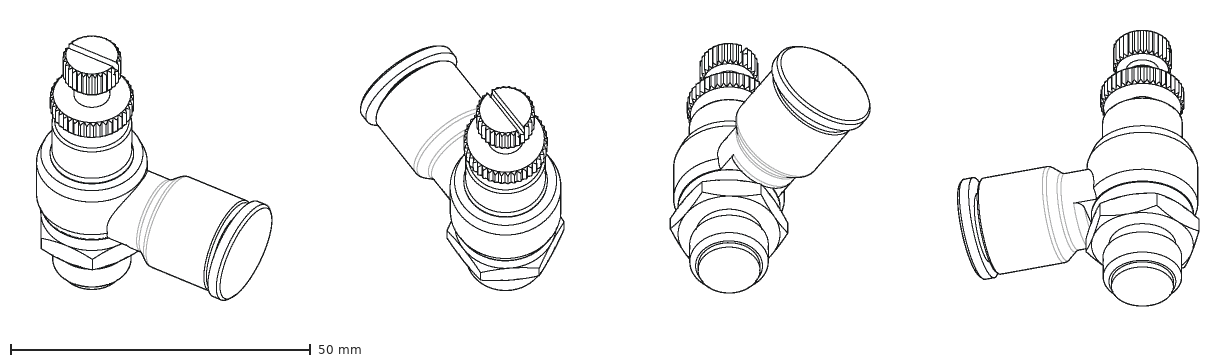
import cadquery as cq
import math


TIP_RADIUS = 5.15
TIP_TOP = 1.1
THREAD_RADIUS = 6.55
THREAD_BOTTOM = 2.05
THREAD_TOP = 6.4
RELIEF_RADIUS = 5.6
RELIEF_BOTTOM = 7.0

HEX_FLATS = 17.0
HEX_BOTTOM = 9.0
HEX_TOP = 13.1
HEX_CHAMFER_ANGLE = math.radians(30)

COLLAR_RADIUS = HEX_FLATS / 2
COLLAR_CHAMFER = 0.15

BODY_RADIUS = 9.25
BODY_END_RADIUS = 8.55
BODY_BOTTOM = 15.75
BODY_LOWER_SHOULDER = 17.75
BODY_UPPER_SHOULDER = 25.7
BODY_TOP = 27.7

BONNET_RADIUS = 6.65
BONNET_FLARE_RADIUS = 7.0
BONNET_FLARE_LIP = 0.15
BONNET_FLARE_TOP = 28.75
BONNET_TOP = 35.6
BONNET_CHAMFER = 0.45

SCREW_RADIUS = 3.0
SCREW_NECK_RADIUS = 2.7
SCREW_SHOULDER = 45.1
SCREW_NECK_BOTTOM = 45.55
NUT_BOTTOM = 38.5
NUT_TOP = 42.15
NUT_RADIUS = 7.0
NUT_TEETH = 40
HEAD_BOTTOM = 46.7
HEAD_TOP = 51.7
HEAD_RADIUS = 4.85
HEAD_TEETH = 30
TOOTH_DEPTH = 0.5
SLOT_WIDTH = 1.15
SLOT_DEPTH = 1.85

PORT_AXIS_Z = 18.85
NECK_RADIUS = 6.5
NOSE_START = 8.9
NOSE_ROUND = 1.4
TAPER_START = 12.6
TAPER_END = 14.7
TAPER_BLEND = 1.0
SOCKET_RADIUS = 8.15
SOCKET_END = 26.4
SOCKET_CHAMFER = 0.3
COLLET_RADIUS = 5.85
FLANGE_START = 27.5
FLANGE_END = 29.55
FLANGE_HALF_WIDTH = BODY_RADIUS
FLANGE_HALF_HEIGHT = 8.0
FLANGE_CHAMFER = 0.45


def cylinder_z(radius, bottom, top):
    return cq.Workplane("XY").workplane(offset=bottom).circle(radius).extrude(top - bottom)


def cylinder_x(radius, start, end):
    plane = cq.Workplane("YZ", origin=(start, 0, PORT_AXIS_Z))
    return plane.circle(radius).extrude(end - start)


def turned_stack():
    """Thread, collar, body, bonnet and screw shank as one revolved outline."""
    outline = [
        (0, 0),
        (TIP_RADIUS, 0),
        (TIP_RADIUS, TIP_TOP),
        (THREAD_RADIUS - (THREAD_BOTTOM - TIP_TOP), TIP_TOP),
        (THREAD_RADIUS, THREAD_BOTTOM),
        (THREAD_RADIUS, THREAD_TOP),
        (RELIEF_RADIUS, RELIEF_BOTTOM),
        (RELIEF_RADIUS, HEX_BOTTOM),
        (COLLAR_RADIUS, HEX_BOTTOM),
        (COLLAR_RADIUS, BODY_BOTTOM - COLLAR_CHAMFER),
        (COLLAR_RADIUS - COLLAR_CHAMFER, BODY_BOTTOM),
        (BODY_END_RADIUS, BODY_BOTTOM),
        (BODY_RADIUS, BODY_LOWER_SHOULDER),
        (BODY_RADIUS, BODY_UPPER_SHOULDER),
        (BODY_END_RADIUS, BODY_TOP),
        (BONNET_FLARE_RADIUS, BODY_TOP),
        (BONNET_FLARE_RADIUS, BODY_TOP + BONNET_FLARE_LIP),
        (BONNET_RADIUS, BONNET_FLARE_TOP),
        (BONNET_RADIUS, BONNET_TOP - BONNET_CHAMFER),
        (BONNET_RADIUS - BONNET_CHAMFER, BONNET_TOP),
        (SCREW_RADIUS, BONNET_TOP),
        (SCREW_RADIUS, SCREW_SHOULDER),
        (SCREW_NECK_RADIUS, SCREW_NECK_BOTTOM),
        (SCREW_NECK_RADIUS, HEAD_BOTTOM),
        (0, HEAD_BOTTOM),
    ]
    return cq.Workplane("XZ").polyline(outline).close().revolve(360, (0, 0), (0, 1))


def hexagon():
    """Hexagon with a corner on X, its corners turned off at both ends."""
    corner_radius = HEX_FLATS / 2 / math.cos(math.pi / 6)
    corner_drop = (corner_radius - HEX_FLATS / 2) * math.tan(HEX_CHAMFER_ANGLE)
    prism = (
        cq.Workplane("XY")
        .workplane(offset=HEX_BOTTOM)
        .polygon(6, 2 * corner_radius)
        .extrude(HEX_TOP - HEX_BOTTOM)
    )
    envelope = cylinder_z(corner_radius, HEX_BOTTOM, HEX_TOP).faces("|Z").edges()
    return prism.intersect(envelope.chamfer(corner_drop, corner_radius - HEX_FLATS / 2))


def knurled_disc(tip_radius, teeth, bottom, top):
    """Disc with sharp V-teeth, a groove lying on X, chamfered to the tooth roots."""
    root_radius = tip_radius - TOOTH_DEPTH
    half_pitch = math.pi / teeth
    points = []
    for i in range(2 * teeth):
        radius = tip_radius if i % 2 else root_radius
        points.append((radius * math.cos(i * half_pitch), radius * math.sin(i * half_pitch)))
    star = cq.Workplane("XY").workplane(offset=bottom).polyline(points).close().extrude(top - bottom)
    return star.intersect(cylinder_z(tip_radius, bottom, top).faces("|Z").edges().chamfer(TOOTH_DEPTH))


def screw_head():
    """Knurled head with a screwdriver slot along X."""
    head = knurled_disc(HEAD_RADIUS, HEAD_TEETH, HEAD_BOTTOM, HEAD_TOP)
    slot = cq.Workplane("XY").box(3 * HEAD_RADIUS, SLOT_WIDTH, 2 * SLOT_DEPTH)
    return head.cut(slot.translate((0, 0, HEAD_TOP)))


def port_neck():
    """Round neck into the body, cut off level with the body's lower face."""
    neck = cylinder_x(NECK_RADIUS, 0, TAPER_START - TAPER_BLEND)
    below_body = cq.Workplane("XY").rect(4 * TAPER_END, 4 * NECK_RADIUS).extrude(BODY_BOTTOM)
    return neck.cut(below_body)


def edges_at(solid, x):
    """The circular edges of a turned port part that are centred at x on the port axis."""
    reach = 0.05
    low = (x - reach, -reach, PORT_AXIS_Z - reach)
    high = (x + reach, reach, PORT_AXIS_Z + reach)
    return solid.edges(cq.selectors.BoxSelector(low, high))


def port_socket():
    """Rounded nose, blended taper and tube socket."""
    outline = [
        (NOSE_START, 0),
        (NOSE_START, NECK_RADIUS),
        (TAPER_START, NECK_RADIUS),
        (TAPER_END, SOCKET_RADIUS),
        (SOCKET_END, SOCKET_RADIUS),
        (SOCKET_END, 0),
    ]
    plane = cq.Workplane("XZ", origin=(0, 0, PORT_AXIS_Z))
    socket = plane.polyline(outline).close().revolve(360, (0, 0), (1, 0))
    socket = edges_at(socket, TAPER_START).fillet(TAPER_BLEND)
    socket = edges_at(socket, TAPER_END).fillet(TAPER_BLEND)
    socket = edges_at(socket, NOSE_START).fillet(NOSE_ROUND)
    return edges_at(socket, SOCKET_END).chamfer(SOCKET_CHAMFER)


def release_collet():
    """Round collet carrying an oval release flange."""
    collet = cylinder_x(COLLET_RADIUS, SOCKET_END, FLANGE_START)
    flange = (
        cq.Workplane("YZ", origin=(FLANGE_START, 0, PORT_AXIS_Z))
        .ellipse(FLANGE_HALF_WIDTH, FLANGE_HALF_HEIGHT)
        .extrude(FLANGE_END - FLANGE_START)
        .faces(">X")
        .edges()
        .chamfer(FLANGE_CHAMFER)
    )
    return collet.union(flange)


result = (
    turned_stack()
    .union(hexagon())
    .union(knurled_disc(NUT_RADIUS, NUT_TEETH, NUT_BOTTOM, NUT_TOP))
    .union(screw_head())
    .union(port_neck())
    .union(port_socket())
    .union(release_collet())
)